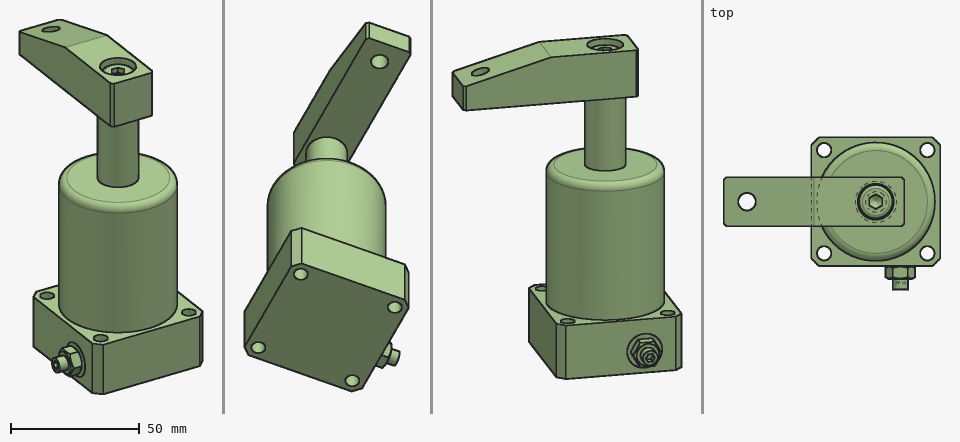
import cadquery as cq
import math

BASE_SIDE = 50.0
BASE_HEIGHT = 22.0
BASE_CORNER_CHAMFER = 3.0
MOUNT_HOLE_DIAMETER = 5.5
MOUNT_HOLE_SPACING = 40.0
CYLINDER_DIAMETER = 46.0
CYLINDER_HEIGHT = 56.0
CYLINDER_TOP_FILLET = 3.0

ROD_DIAMETER = 16.0
ROD_LENGTH = 30.0

ARM_LENGTH = 70.0
ARM_WIDTH = 19.0
ARM_HEIGHT = 19.0
ARM_SLOPE_ANGLE = 15.0
ARM_FLAT_LENGTH = 35.0
ARM_REAR_OVERHANG = 11.0
ARM_CORNER_CHAMFER = 1.0
TIP_HOLE_DIAMETER = 6.7
TIP_HOLE_INSET = 9.0

HEAD_DIAMETER = 13.0
HEAD_HEIGHT = 5.0
HEAD_FILLET = 1.3
HEAD_RECESS = 2.0
COUNTERBORE_DIAMETER = 14.0
SHANK_DIAMETER = 8.0
SHANK_DEPTH_IN_ROD = 12.0
HEAD_SOCKET_FLATS = 5.0
HEAD_SOCKET_DEPTH = 2.0
HEAD_SOCKET_CONE_ANGLE = 120.0

BLEED_X = 9.5
BLEED_Z = 9.0
BLEED_LENGTH = 9.0
SPOTFACE_DIAMETER = 14.0
SPOTFACE_DEPTH = 0.1
COLLAR_FLATS = 10.0
COLLAR_LENGTH = 5.1
COLLAR_CHAMFER_DIAMETER = 9.0
COLLAR_CHAMFER_ANGLE = 30.0
STEM_DIAMETER = 6.0
STEM_SOCKET_FLATS = 3.0
STEM_SOCKET_DEPTH = 3.0

HEXAGON_SIDES = 6

HOUSING_TOP = BASE_HEIGHT + CYLINDER_HEIGHT
ROD_TOP = HOUSING_TOP + ROD_LENGTH
ARM_TOP = ROD_TOP + ARM_HEIGHT
ARM_REAR_X = ARM_REAR_OVERHANG
ARM_TIP_X = ARM_REAR_X - ARM_LENGTH
HEAD_TOP = ARM_TOP - HEAD_RECESS
HEAD_SEAT = HEAD_TOP - HEAD_HEIGHT
SHANK_END = ROD_TOP - SHANK_DEPTH_IN_ROD
BASE_FRONT_Y = -BASE_SIDE / 2
SPOTFACE_Y = BASE_FRONT_Y + SPOTFACE_DEPTH


def upright_cylinder(diameter, bottom, top):
    """Cylinder on the Z axis between two levels."""
    return cq.Workplane("XY").workplane(offset=bottom).circle(diameter / 2).extrude(top - bottom)


def hexagon_corners(flats):
    """Distance across the corners of a hexagon with the given distance across flats."""
    return flats / math.cos(math.pi / HEXAGON_SIDES)


def bleed_plane(y):
    """Workplane at the bleed screw axis, facing -Y."""
    return cq.Workplane("XZ", origin=(BLEED_X, y, BLEED_Z))


def make_housing():
    housing = (
        cq.Workplane("XY")
        .rect(BASE_SIDE, BASE_SIDE)
        .extrude(BASE_HEIGHT)
        .edges("|Z")
        .chamfer(BASE_CORNER_CHAMFER)
    )
    mount_holes = (
        cq.Workplane("XY")
        .rect(MOUNT_HOLE_SPACING, MOUNT_HOLE_SPACING, forConstruction=True)
        .vertices()
        .circle(MOUNT_HOLE_DIAMETER / 2)
        .extrude(BASE_HEIGHT)
    )
    cylinder = (
        upright_cylinder(CYLINDER_DIAMETER, BASE_HEIGHT, HOUSING_TOP)
        .faces(">Z")
        .edges()
        .fillet(CYLINDER_TOP_FILLET)
    )
    spotface = bleed_plane(SPOTFACE_Y).circle(SPOTFACE_DIAMETER / 2).extrude(SPOTFACE_DEPTH)
    return housing.cut(mount_holes).union(cylinder).cut(spotface)


def make_piston_rod():
    rod = upright_cylinder(ROD_DIAMETER, HOUSING_TOP, ROD_TOP)
    return rod.cut(upright_cylinder(SHANK_DIAMETER, SHANK_END, ROD_TOP))


def make_arm():
    slope_drop = (ARM_LENGTH - ARM_FLAT_LENGTH) * math.tan(math.radians(ARM_SLOPE_ANGLE))
    blank = (
        cq.Workplane("XZ")
        .moveTo(ARM_TIP_X, ROD_TOP)
        .lineTo(ARM_REAR_X, ROD_TOP)
        .lineTo(ARM_REAR_X, ARM_TOP)
        .lineTo(ARM_REAR_X - ARM_FLAT_LENGTH, ARM_TOP)
        .lineTo(ARM_TIP_X, ARM_TOP - slope_drop)
        .close()
        .extrude(ARM_WIDTH / 2, both=True)
        .edges("|Z")
        .chamfer(ARM_CORNER_CHAMFER)
    )
    tip_hole = upright_cylinder(TIP_HOLE_DIAMETER, ROD_TOP, ARM_TOP).translate(
        (ARM_TIP_X + TIP_HOLE_INSET, 0, 0)
    )
    counterbore = upright_cylinder(COUNTERBORE_DIAMETER, HEAD_SEAT, ARM_TOP)
    shank_hole = upright_cylinder(SHANK_DIAMETER, ROD_TOP, HEAD_SEAT)
    return blank.cut(tip_hole).cut(counterbore).cut(shank_hole)


def head_socket():
    """Hexagon socket with corners along Y and a drill-point bottom."""
    corner_radius = hexagon_corners(HEAD_SOCKET_FLATS) / 2
    cone_height = corner_radius / math.tan(math.radians(HEAD_SOCKET_CONE_ANGLE / 2))
    socket_bottom = HEAD_TOP - HEAD_SOCKET_DEPTH
    cone_tip = socket_bottom - cone_height
    hexagon = (
        cq.Workplane("XY")
        .workplane(offset=cone_tip)
        .transformed(rotate=(0, 0, 90))
        .polygon(HEXAGON_SIDES, 2 * corner_radius)
        .extrude(HEAD_TOP - cone_tip)
    )
    drill = (
        cq.Workplane("XZ")
        .moveTo(0, cone_tip)
        .lineTo(corner_radius, socket_bottom)
        .lineTo(corner_radius, HEAD_TOP)
        .lineTo(0, HEAD_TOP)
        .close()
        .revolve()
    )
    return hexagon.intersect(drill)


def make_arm_screw():
    head = upright_cylinder(HEAD_DIAMETER, HEAD_SEAT, HEAD_TOP).faces(">Z").edges().fillet(HEAD_FILLET)
    shank = upright_cylinder(SHANK_DIAMETER, SHANK_END, HEAD_SEAT)
    return head.union(shank).cut(head_socket())


def collar_envelope():
    """Turned shape that bevels the corners at both ends of the hexagon collar."""
    end_radius = COLLAR_CHAMFER_DIAMETER / 2
    corner_radius = hexagon_corners(COLLAR_FLATS) / 2
    bevel = (corner_radius - end_radius) * math.tan(math.radians(COLLAR_CHAMFER_ANGLE))
    return (
        cq.Workplane("XY", origin=(BLEED_X, SPOTFACE_Y, BLEED_Z))
        .lineTo(end_radius, 0)
        .lineTo(corner_radius, -bevel)
        .lineTo(corner_radius, bevel - COLLAR_LENGTH)
        .lineTo(end_radius, -COLLAR_LENGTH)
        .lineTo(0, -COLLAR_LENGTH)
        .close()
        .revolve(360, (0, 0), (0, 1))
    )


def make_bleed_screw():
    collar = (
        bleed_plane(SPOTFACE_Y)
        .polygon(HEXAGON_SIDES, hexagon_corners(COLLAR_FLATS))
        .extrude(COLLAR_LENGTH)
        .intersect(collar_envelope())
    )
    stem = bleed_plane(SPOTFACE_Y).circle(STEM_DIAMETER / 2).extrude(BLEED_LENGTH + SPOTFACE_DEPTH)
    socket = (
        bleed_plane(BASE_FRONT_Y - BLEED_LENGTH)
        .polygon(HEXAGON_SIDES, hexagon_corners(STEM_SOCKET_FLATS))
        .extrude(-STEM_SOCKET_DEPTH)
    )
    return collar.union(stem).cut(socket)


housing = make_housing()
piston_rod = make_piston_rod()
arm = make_arm()
arm_screw = make_arm_screw()
bleed_screw = make_bleed_screw()

result = cq.Compound.makeCompound(
    [housing.val(), piston_rod.val(), arm.val(), arm_screw.val(), bleed_screw.val()]
)